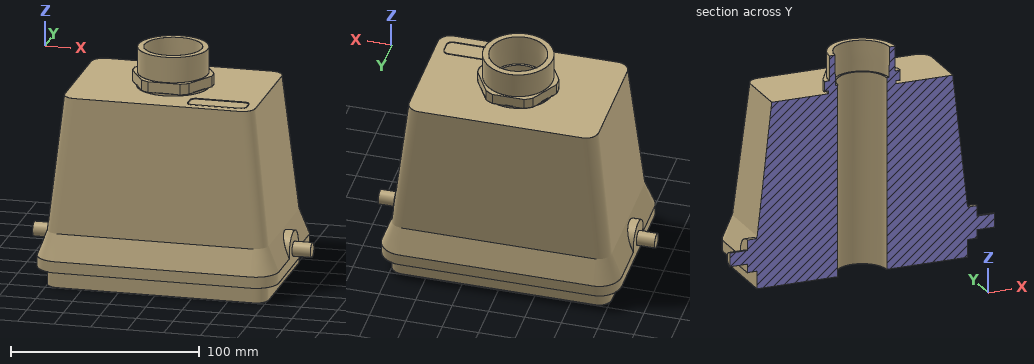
import cadquery as cq
import math

overall_length = 152.0
overall_height = 126.5

skirt_length = 121.0
skirt_width = 79.0
corner_radius = 7.0
collar_overhang = 5.5
roof_length = 104.3
roof_width = 71.3

collar_bottom = 10.0
collar_edge_top = 16.3
body_bottom = 30.1
roof_level = 105.0

pin_diameter = 8.0
pin_level = 18.8
lug_diameter = 19.9

neck_diameter = 39.0
neck_height = 1.4
nut_across_flats = 40.0
nut_corner_diameter = 43.6
nut_height = 6.0
tube_diameter = 38.0
mouth_diameter = 31.3
seat_diameter = 30.4
seat_depth = 17.3
through_diameter = 28.0

label_length = 32.0
label_width = 11.0
label_corner_radius = 3.0
label_depth = 0.5
label_x = 30.9
label_y = -24.8

collar_length = skirt_length + 2 * collar_overhang
collar_width = skirt_width + 2 * collar_overhang
collar_radius = corner_radius + collar_overhang
nut_sharp_diameter = nut_across_flats / math.cos(math.radians(30))
nut_bottom = roof_level + neck_height
nut_top = nut_bottom + nut_height


def rounded_section(length, width, radius, level):
    """Rounded rectangle sketch lying at the given level."""
    sketch = cq.Sketch().rect(length, width).vertices().fillet(radius)
    return sketch.moved(cq.Location(cq.Vector(0, 0, level)))


def rounded_block(length, width, radius, bottom, top):
    """Straight block with rounded vertical corners."""
    section = rounded_section(length, width, radius, bottom)
    return cq.Workplane("XY").placeSketch(section).extrude(top - bottom)


def tapered_block(lower, upper):
    """Straight-sided loft between two rounded rectangles."""
    return cq.Workplane("XY").placeSketch(lower, upper).loft(ruled=True)


def cylinder(diameter, bottom, top):
    """Upright cylinder on the Z axis."""
    return cq.Workplane("XY").workplane(offset=bottom).circle(diameter / 2).extrude(top - bottom)


def make_hood():
    """Skirt, overhanging collar, flare and drafted body, stacked upward."""
    skirt = rounded_block(skirt_length, skirt_width, corner_radius, 0, collar_bottom)
    collar = rounded_block(collar_length, collar_width, collar_radius, collar_bottom, collar_edge_top)
    body_base = rounded_section(skirt_length, skirt_width, corner_radius, body_bottom)
    flare = tapered_block(
        rounded_section(collar_length, collar_width, collar_radius, collar_edge_top),
        body_base,
    )
    body = tapered_block(
        body_base,
        rounded_section(roof_length, roof_width, corner_radius, roof_level),
    )
    return skirt.union(collar).union(flare).union(body)


def make_lugs_and_pins():
    """Lugs flush with both collar ends, with a pin running out of each."""
    end_plane = cq.Workplane("YZ")
    lug_round = end_plane.center(0, pin_level).circle(lug_diameter / 2).extrude(collar_length / 2, both=True)
    above_underside = rounded_block(collar_length, collar_width, collar_radius, collar_bottom, roof_level)
    foot_height = pin_level - collar_bottom
    lug_foot = (
        end_plane.center(0, collar_bottom + foot_height / 2)
        .rect(lug_diameter, foot_height)
        .extrude(collar_length / 2, both=True)
    )
    lugs = lug_round.intersect(above_underside).union(lug_foot)
    pins = end_plane.center(0, pin_level).circle(pin_diameter / 2).extrude(overall_length / 2, both=True)
    return lugs.union(pins)


def make_gland():
    """Round neck, hexagonal nut with turned-down corners, and entry tube."""
    neck = cylinder(neck_diameter, roof_level, nut_bottom)
    hexagon = (
        cq.Workplane("XY")
        .workplane(offset=nut_bottom)
        .polygon(6, nut_sharp_diameter)
        .extrude(nut_height)
    )
    nut = hexagon.intersect(cylinder(nut_corner_diameter, nut_bottom, nut_top))
    tube = cylinder(tube_diameter, nut_top, overall_height)
    return neck.union(nut).union(tube)


def make_bore():
    """Through hole that opens into a slightly tapered mouth above a seat."""
    through = cylinder(through_diameter, 0, overall_height)
    mouth = (
        cq.Workplane("XY")
        .workplane(offset=overall_height - seat_depth)
        .circle(seat_diameter / 2)
        .workplane(offset=seat_depth)
        .circle(mouth_diameter / 2)
        .loft(ruled=True)
    )
    return through.union(mouth)


def make_label_recess():
    """Shallow rounded pocket near the front right corner of the roof."""
    pocket = rounded_block(
        label_length, label_width, label_corner_radius, roof_level - label_depth, roof_level
    )
    return pocket.translate((label_x, label_y, 0))


result = (
    make_hood()
    .union(make_lugs_and_pins())
    .union(make_gland())
    .cut(make_bore())
    .cut(make_label_recess())
)